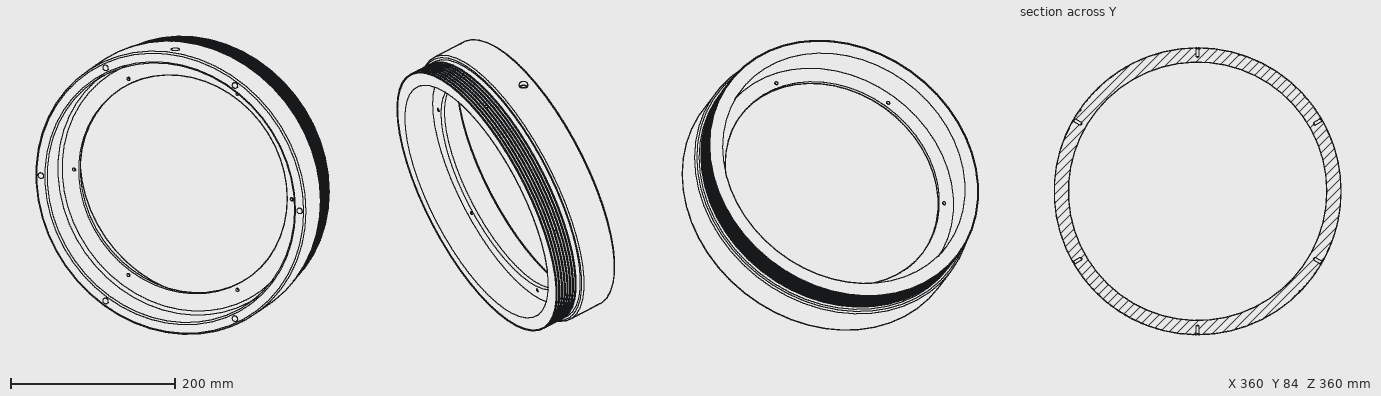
import cadquery as cq
import math

outer_radius = 180.0
width = 84.0
front_y = -width / 2
back_y = width / 2

band_width = 48.5
edge_chamfer = 2.0
collar_radius = 175.0
groove_pitch = 4.0
groove_count = 8
groove_depth = 1.0
groove_width = 1.0
first_groove_from_back = 1.0

pocket_radius = 165.0
pocket_depth = 38.0
pocket_corner_chamfer = 4.0
bore_radius = 139.0
flange_thickness = 5.0
back_recess_radius = 157.5

hole_count = 6
hole_spacing = 360 / hole_count
rim_hole_circle_radius = 172.5
rim_hole_diameter = 7.2
rim_hole_depth = 14.5
flange_hole_circle_radius = 145.0
flange_hole_diameter = 4.0
collar_hole_diameter = 3.2
collar_hole_depth = 10.8
collar_hole_from_back = 14.5
band_hole_diameter = 10.5
band_hole_depth = 7.2
band_core_diameter = 8.5
band_core_depth = 10.8
band_hole_from_front = 15.0
drill_point_angle = 118.0
backward = cq.Vector(0, 1, 0)


def ring_body():
    """Revolve the half section (radius, y) about the Y axis."""
    flange_y = front_y + pocket_depth
    shoulder_y = front_y + band_width
    section = [
        (pocket_radius + edge_chamfer, front_y),
        (outer_radius - edge_chamfer, front_y),
        (outer_radius, front_y + edge_chamfer),
        (outer_radius, shoulder_y - edge_chamfer),
        (outer_radius - edge_chamfer, shoulder_y),
        (collar_radius, shoulder_y),
        (collar_radius, back_y),
        (back_recess_radius, back_y),
        (back_recess_radius, flange_y + flange_thickness),
        (bore_radius, flange_y + flange_thickness),
        (bore_radius, flange_y),
        (pocket_radius - pocket_corner_chamfer, flange_y),
        (pocket_radius, flange_y - pocket_corner_chamfer),
        (pocket_radius, front_y + edge_chamfer),
    ]
    return cq.Workplane("XY").polyline(section).close().revolve(360, (0, 0), (0, 1))


def collar_groove(center_y):
    """Square ring cut into the collar."""
    return (
        cq.Workplane("XZ", origin=(0, center_y + groove_width / 2, 0))
        .circle(collar_radius)
        .circle(collar_radius - groove_depth)
        .extrude(groove_width)
    )


def drilled_hole(diameter, depth, start, direction):
    """Blind hole with a conical drill point below its full-diameter depth."""
    radius = diameter / 2
    point_depth = radius / math.tan(math.radians(drill_point_angle / 2))
    straight = cq.Solid.makeCylinder(radius, depth, start, direction)
    point = cq.Solid.makeCone(radius, 0, point_depth, start + direction * depth, direction)
    return cq.Workplane(straight.fuse(point))


def ring_point(radius, y, angle):
    """Point at a radius and angle (degrees from +X towards +Z) around the Y axis."""
    return cq.Vector(
        radius * math.cos(math.radians(angle)),
        y,
        radius * math.sin(math.radians(angle)),
    )


def plain_hole(diameter, depth, start, direction):
    """Flat-ended cylinder to cut away."""
    return cq.Workplane(cq.Solid.makeCylinder(diameter / 2, depth, start, direction))


result = ring_body()

for index in range(groove_count):
    result = result.cut(collar_groove(back_y - first_groove_from_back - index * groove_pitch))

for index in range(hole_count):
    angle = index * hole_spacing

    rim_start = ring_point(rim_hole_circle_radius, front_y, angle)
    result = result.cut(drilled_hole(rim_hole_diameter, rim_hole_depth, rim_start, backward))

    flange_start = ring_point(flange_hole_circle_radius, front_y, angle)
    result = result.cut(plain_hole(flange_hole_diameter, width, flange_start, backward))

    collar_start = ring_point(collar_radius, back_y - collar_hole_from_back, angle + hole_spacing / 2)
    inward = cq.Vector(-collar_start.x, 0, -collar_start.z).normalized()
    result = result.cut(drilled_hole(collar_hole_diameter, collar_hole_depth, collar_start, inward))

band_start = cq.Vector(0, front_y + band_hole_from_front, outer_radius)
downward = cq.Vector(0, 0, -1)
result = result.cut(plain_hole(band_hole_diameter, band_hole_depth, band_start, downward))
result = result.cut(drilled_hole(band_core_diameter, band_core_depth, band_start, downward))